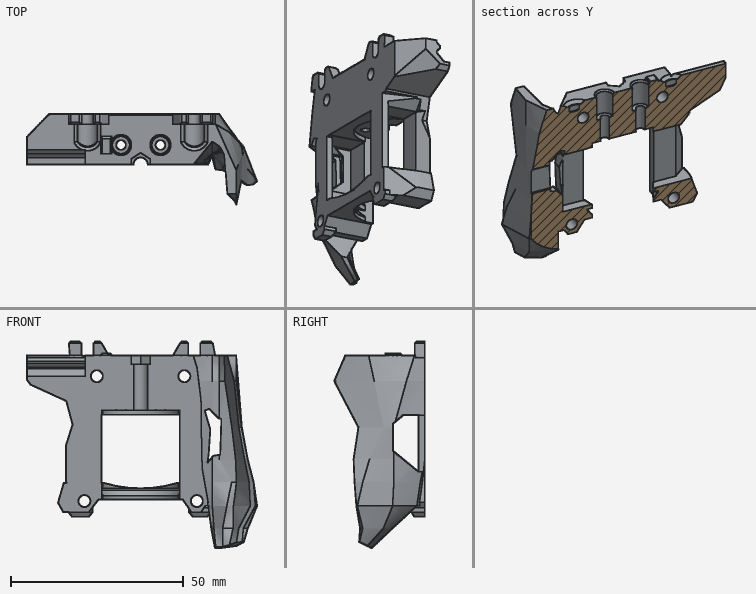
import cadquery as cq

DEPTH = 14.65
BODY_LENGTH = 50.6
PART_LENGTH = 66.6
CLEARANCE = 0.65

OPENING_LEFT, OPENING_RIGHT = 21.65, 44.15
OPENING_CENTRE = (OPENING_LEFT + OPENING_RIGHT) / 2
BORE_RADIUS = (OPENING_RIGHT - OPENING_LEFT) / 2
OPENING_TOP = -15.8
BACK_OPENING_TOP = -17.2
BACK_OPENING_MARGIN = 1.4
BODY_BOTTOM = -45.3
CROSSBAR_BOTTOM = -41.7
CROSSBAR_SIDE_TOP, CROSSBAR_MIDDLE_TOP = -36.6, -38.35
FLARE_BOTTOM, FLARE_TOP, FLARE_RADIUS = -40.5, -38.9, 12.3

TUNNEL_FRONT, TUNNEL_BACK = 2.85, 12.8
TUNNEL_TOP, TUNNEL_BOTTOM = -17.25, -36.8
TUNNEL_MOUTH_TOP = -13.85
MOUTH_END = 14.3
SLOT_LEFT = 51.9
SCOOP_WALL_BACK = 5.45

SCREW_DIAMETER = 3.4
SCREW_HOLES = [(20.25, -6.0), (45.55, -6.0), (16.65, -42.1), (49.15, -42.1)]
DECK_HOLE_DIAMETER = 2.7
DECK_BORE_DIAMETER, DECK_BORE_DEPTH = 5.0, 8.0
DECK_BORE_RIM = 6.0
DECK_HOLES = [(27.2, 5.65), (38.6, 5.65)]

NUT_WIDTH, NUT_SIDE_DEPTH, NUT_TIP_DEPTH, NUT_HEIGHT = 5.45, 1.65, 3.4, 2.45
CHANNEL_DIAMETER = 4.05

HOOKS = [(17.5, 1, -0.25), (48.4, -1, 0.65)]
HOOK_HEIGHT, HOOK_FRONT, HOOK_TOP_CHAMFER = 4.05, 11.65, 0.6
HOOK_GAP = 3.4
HOOK_OUTER_REACH, HOOK_INNER_TOP, HOOK_INNER_FOOT, HOOK_ROOT = 5.4, 4.2, 6.2, 0.65
HOOK_CHANNEL_STRAIGHT_Y = 6.65
HOOK_CHANNEL_DIAMETER = 6.0
HOOK_CHANNEL_RIM, HOOK_CHANNEL_RIM_DEPTH = 7.7, 1.0
HOOK_END_Y, HOOK_END_RADIUS = 9.05, 3.7
HOOK_RIM_END_Y, HOOK_RIM_END_RADIUS = 8.25, 4.25

CLIP_X, CLIP_Y, CLIP_HEIGHT, CLIP_CHAMFER = (21.45, 24.5), (3.1, 8.1), 0.6, 0.4

RAIL_LENGTH = 16.9
FOOT_HEIGHT, FOOT_THICKNESS, FOOT_BEVEL = 1.4, 3.9, 0.85
FOOT_SPANS = [(12.0, 19.05), (46.9, 53.25)]
FOOT_END_SLOPE, FOOT_ROOT = 1.1, 1.3
DECK_BACK_BEVEL, DECK_BEVEL_SPAN = 0.4, (20.0, 51.9)
LEG_SIDE = 11.3
FOOT_OVERHANG = 2.3
LEG_SIDE_BACK = 13.65
LEG_PLATE_BEVEL = 3.3


def box(x0, x1, y0, y1, z0, z1):
    return cq.Workplane("XY").box(x1 - x0, y1 - y0, z1 - z0, centered=False).translate((x0, y0, z0))


def along_y(points, y0, y1):
    """Outline in X and Z, extruded from y0 back to y1."""
    return cq.Workplane("XZ", origin=(0, y0, 0)).polyline(points).close().extrude(y0 - y1)


def along_x(points, x0, x1):
    """Outline in Y and Z, extruded from x0 to x1."""
    return cq.Workplane("YZ", origin=(x0, 0, 0)).polyline(points).close().extrude(x1 - x0)


def upright(x, y, diameter, z_top, z_bottom):
    return cq.Workplane("XY", origin=(x, y, z_bottom)).circle(diameter / 2).extrude(z_top - z_bottom)


def corner_cut(a, b, c, outward, size=39.95):
    """Block lying beyond the plane through three points, on the outward side."""
    a, b, c = cq.Vector(*a), cq.Vector(*b), cq.Vector(*c)
    normal = (b - a).cross(c - a).normalized()
    if normal.dot(cq.Vector(*outward)) < 0:
        normal = normal * -1
    return cq.Workplane(cq.Plane(origin=a, normal=normal)).rect(size, size).extrude(size)


def body():
    """Block with the front outline, chamfered at its left back corner."""
    outline = [
        (0, 0), (0, -7.0), (1.05, -8.45), (11.4, -13.2), (13.2, -20.0), (LEG_SIDE, -25.9),
        (LEG_SIDE, TUNNEL_BOTTOM), (LEG_SIDE - 0.65, TUNNEL_BOTTOM), (LEG_SIDE - FOOT_OVERHANG, -42.55),
        (10.5, BODY_BOTTOM), (17.9, BODY_BOTTOM),
        (20.7, CROSSBAR_BOTTOM), (45.1, CROSSBAR_BOTTOM), (47.55, BODY_BOTTOM), (50.35, BODY_BOTTOM),
        (52.4, -42.4), (BODY_LENGTH, -32.15), (50.35, -12.85), (49.2, -3.6), (48.15, 0),
    ]
    block = along_y(outline, 0, DEPTH)
    out = (-1, 1, -1)
    block = block.cut(corner_cut((0, 8.0, 0), (6.45, DEPTH, 0), (0, 8.0, -6.65), out))
    block = block.cut(corner_cut((0, 8.0, -3.25), (3.6, 11.65, -7.45), (0, 3.4, -6.85), out))
    bevel = along_x([(DEPTH, -DECK_BACK_BEVEL), (DEPTH, 0), (DEPTH - DECK_BACK_BEVEL, 0)], *DECK_BEVEL_SPAN)
    return block.cut(bevel).cut(leg_side_cut())


def leg_side_cut():
    """Material taken off the outer side of the left leg, which narrows towards the back."""
    outside = LEG_SIDE - FOOT_OVERHANG
    plate = [(LEG_SIDE, 0), (LEG_SIDE + LEG_PLATE_BEVEL, TUNNEL_FRONT), (LEG_SIDE, TUNNEL_FRONT)]
    back = [(outside, TUNNEL_FRONT), (LEG_SIDE, TUNNEL_FRONT), (LEG_SIDE_BACK, DEPTH), (outside, DEPTH)]
    cut = cq.Workplane("XY")
    for plan, top in ((plate, TUNNEL_TOP), (back, TUNNEL_MOUTH_TOP)):
        floor = cq.Workplane("XY", origin=(0, 0, TUNNEL_BOTTOM))
        cut = cut.add(floor.polyline(plan).close().extrude(top - TUNNEL_BOTTOM))
    cut = cut.combine()

    knee = (outside, 5.7, -42.9)
    shoulder = (10.3, 1.7, TUNNEL_BOTTOM)
    shoulder_back = (12.3, DEPTH, TUNNEL_BOTTOM)
    foot_zone = box(outside, OPENING_LEFT, 0, DEPTH, BODY_BOTTOM, TUNNEL_BOTTOM)
    upper = corner_cut(shoulder, knee, shoulder_back, (-1, 0, 1))
    lower = corner_cut(knee, (12.65, DEPTH, -39.3), (12.65, DEPTH, BODY_BOTTOM), (-1, 1, 0))
    return cut.union(upper.union(lower).intersect(foot_zone))


def feet():
    """Two thin feet under the back of the legs, with sloped ends and a bevelled front."""
    front, low = DEPTH - FOOT_THICKNESS, BODY_BOTTOM - FOOT_HEIGHT
    profile = [(front, BODY_BOTTOM + FOOT_ROOT), (front, BODY_BOTTOM), (front + FOOT_BEVEL, low),
               (DEPTH, low), (DEPTH, BODY_BOTTOM + FOOT_ROOT)]
    pair = cq.Workplane("XY")
    for x0, x1 in FOOT_SPANS:
        ends = [(x0, BODY_BOTTOM + FOOT_ROOT), (x0, BODY_BOTTOM), (x0 + FOOT_END_SLOPE, low),
                (x1 - FOOT_END_SLOPE, low), (x1, BODY_BOTTOM), (x1, BODY_BOTTOM + FOOT_ROOT)]
        pair = pair.add(along_y(ends, 0, DEPTH).intersect(along_x(profile, x0, x1)))
    return pair.combine()


SCOOP_SECTIONS = [
    (0.0, [(48.15, 0), (53.6, 6.65), (55.6, 5.3), (57.05, 2.65), (57.9, -8.4),
           (60.5, -8.4), (60.5, -1.6), (54.6, 11.65), (52.3, 14.65)]),
    (-7.4, [(49.55, 0), (53.65, 3.3), (55.6, 4.65), (57.25, 4), (59.9, -10.3),
             (60.6, -11.6), (61.1, 0), (58.6, 9.3), (53.9, 14.65)]),
    (-20.8, [(50.4, 0), (53.6, 3.05), (55.6, 4), (59.25, 4), (61.25, -4.3),
             (62.05, -4.6), (62.2, 2.65), (62.05, 5.65), (56.2, 14.65)]),
    (-29.95, [(50.6, 0), (53.6, 3.05), (55.6, 4), (60.3, 4), (62.9, -5.65),
             (63.8, -6), (63.85, -1.3), (61.9, 5.65), (55.9, 14.65)]),
    (-36.6, [(50.95, 0), (53.6, 3.05), (59.2, 3.7), (60.6, 4), (64.25, -5.2),
             (65.5, -5.7), (65.6, -3.3), (62.25, 5.65), (55.25, 13.3)]),
    (-43.5, [(52.4, 0), (53.6, 2.9), (57.8, -0.3), (59.7, 2), (64.6, -4.65),
             (66.05, -5.2), (PART_LENGTH, -4.85), (62.6, 5.3), (54.6, 12.3)]),
]
SPOUT_SECTIONS = [
    (-49.95, [(53.25, 3.3), (54.05, 2), (56.6, -0.65), (59.6, 0), (61.25, -3.7),
             (62.6, -4.1), (63.9, -3.3), (61.25, 2.65), (53.25, 5.3)]),
]
SCOOP_ROOT = [(46.6, DEPTH), (46.6, 0)]
TIP_OUTLINE = [(54.3, -0.85), (54.6, -1.45), (56.6, -1.65), (58.6, -2.65), (60.6, -4.1),
               (62.25, -4.4), (62.7, -4.25), (60.6, -2), (55.9, -0.7)]
TIP_LOWEST, TIP_SLOPE = -56.05, 0.5


def ruled_loft(rings):
    wires = [cq.Wire.makePolygon([cq.Vector(*p) for p in ring], close=True) for ring in rings]
    return cq.Workplane(obj=cq.Solid.makeLoft(wires, True))


def scoop():
    """Faceted air scoop with its forward spout."""
    rooted = [(z, points + SCOOP_ROOT) for z, points in SCOOP_SECTIONS]
    upper = ruled_loft([[(x, y, z) for x, y in points] for z, points in rooted])
    lower = [[(x, y, z) for x, y in points] for z, points in [SCOOP_SECTIONS[-1]] + SPOUT_SECTIONS]
    lower.append([(x, y, TIP_LOWEST - TIP_SLOPE * y) for x, y in TIP_OUTLINE])
    return upper.union(ruled_loft(lower))


def hook(centre, inner_side, flare):
    """Pair of prongs; flare widens the foot of the outer one.

    inner_side is the sign of X towards the middle of the part.
    """
    gap, shoulder = HOOK_GAP / 2, HOOK_HEIGHT - HOOK_TOP_CHAMFER
    outer = [(-HOOK_OUTER_REACH - flare, -HOOK_ROOT), (-HOOK_OUTER_REACH - flare, 0),
             (-HOOK_OUTER_REACH, shoulder), (-HOOK_OUTER_REACH + HOOK_TOP_CHAMFER, HOOK_HEIGHT),
             (-gap - HOOK_TOP_CHAMFER, HOOK_HEIGHT), (-gap, shoulder), (-gap, -HOOK_ROOT)]
    inner = [(gap, -HOOK_ROOT), (gap, shoulder), (gap + HOOK_TOP_CHAMFER, HOOK_HEIGHT),
             (HOOK_INNER_TOP - HOOK_TOP_CHAMFER, HOOK_HEIGHT), (HOOK_INNER_TOP, shoulder),
             (HOOK_INNER_FOOT, 0), (HOOK_INNER_FOOT, -HOOK_ROOT)]
    profile = [(HOOK_FRONT, -HOOK_ROOT), (HOOK_FRONT, shoulder), (HOOK_FRONT + HOOK_TOP_CHAMFER, HOOK_HEIGHT),
               (DEPTH, HOOK_HEIGHT), (DEPTH, -HOOK_ROOT)]
    side_shape = along_x(profile, centre - 2 * HOOK_OUTER_REACH, centre + 2 * HOOK_OUTER_REACH)
    prongs = cq.Workplane("XY")
    for points in (outer, inner):
        placed = [(centre + inner_side * x, z) for x, z in points]
        prongs = prongs.add(along_y(placed, 0, DEPTH).intersect(side_shape))
    return prongs.combine()


def hook_channel(centre):
    """Lying round channel with a rounded front end, a bevelled rim and a narrow gap through the back."""
    radius, rim = HOOK_CHANNEL_DIAMETER / 2, HOOK_CHANNEL_RIM / 2
    floor = rim - HOOK_CHANNEL_RIM_DEPTH
    left, right = centre - rim, centre + rim

    core = cq.Workplane("XZ", origin=(centre, 0, 0)).circle(radius).extrude(-HOOK_FRONT)
    core_end = upright(centre, HOOK_END_Y, 2 * HOOK_END_RADIUS, 0, -radius)
    core_end = core_end.union(box(left, right, HOOK_CHANNEL_STRAIGHT_Y, HOOK_FRONT, -radius, 0))

    bevel = along_y([(left, 0), (right, 0), (centre + floor, -HOOK_CHANNEL_RIM_DEPTH),
                     (centre - floor, -HOOK_CHANNEL_RIM_DEPTH)], 0, HOOK_FRONT)
    bevel_end = (
        cq.Workplane("XY", origin=(centre, HOOK_RIM_END_Y, 0))
        .circle(HOOK_RIM_END_RADIUS)
        .extrude(-HOOK_CHANNEL_RIM_DEPTH, taper=45)
    )
    bevel_end = bevel_end.union(
        box(left, right, HOOK_RIM_END_Y, HOOK_FRONT, -HOOK_CHANNEL_RIM_DEPTH, 0))

    gap = cq.Workplane("XZ", origin=(centre, HOOK_END_Y, 0)).circle(HOOK_GAP / 2).extrude(-DEPTH)
    return core.intersect(core_end).union(bevel.intersect(bevel_end)).union(gap)


def deck_clip():
    """Low bevelled pad beside the left deck hole."""
    front, back = CLIP_Y
    profile = [(front, -CLIP_HEIGHT), (front, CLIP_HEIGHT), (back - CLIP_HEIGHT, CLIP_HEIGHT),
               (back, 0), (back, -CLIP_HEIGHT)]
    return along_x(profile, *CLIP_X).edges("|Y and >Z").chamfer(CLIP_CHAMFER)


def main_opening():
    """Square front window, round bore, flared crossbar top and back window."""
    front = box(OPENING_LEFT, OPENING_RIGHT, -CLEARANCE, TUNNEL_FRONT, BODY_BOTTOM, OPENING_TOP)
    bore = upright(OPENING_CENTRE, 0, 2 * BORE_RADIUS, OPENING_TOP, BODY_BOTTOM)
    flare = (
        cq.Workplane("XZ", origin=(OPENING_CENTRE, 0, 0))
        .polyline([(0, FLARE_BOTTOM), (BORE_RADIUS, FLARE_BOTTOM), (FLARE_RADIUS, FLARE_TOP),
                   (DEPTH, CROSSBAR_MIDDLE_TOP), (0, CROSSBAR_MIDDLE_TOP)])
        .close()
        .revolve(360, (0, 0, 0), (0, 1, 0))
    )
    flare = flare.intersect(box(OPENING_LEFT, OPENING_RIGHT, 0, DEPTH, BODY_BOTTOM, 0))
    back = (
        cq.Workplane("XZ")
        .moveTo(OPENING_LEFT, BACK_OPENING_TOP)
        .lineTo(OPENING_LEFT, CROSSBAR_SIDE_TOP)
        .threePointArc((OPENING_CENTRE, CROSSBAR_MIDDLE_TOP), (OPENING_RIGHT, CROSSBAR_SIDE_TOP))
        .lineTo(OPENING_RIGHT, BACK_OPENING_TOP)
        .close()
        .extrude(-DEPTH - CLEARANCE)
    )
    rear = box(OPENING_LEFT - BACK_OPENING_MARGIN, OPENING_RIGHT + BACK_OPENING_MARGIN,
               TUNNEL_BACK, DEPTH, TUNNEL_BOTTOM, TUNNEL_TOP)
    return front.union(bore).union(flare).union(back).union(rear)


def leg_tunnel():
    """Cross tunnel through both legs, ending in a window behind the scoop wall."""
    left = box(-CLEARANCE, OPENING_CENTRE, TUNNEL_FRONT, TUNNEL_BACK, TUNNEL_BOTTOM, TUNNEL_TOP)
    outside = LEG_SIDE - FOOT_OVERHANG
    slope = [(outside, TUNNEL_MOUTH_TOP), (LEG_SIDE, TUNNEL_MOUTH_TOP),
             (MOUTH_END, TUNNEL_TOP), (outside, TUNNEL_TOP)]
    mouth = along_y(slope, TUNNEL_FRONT, TUNNEL_BACK)
    right = box(OPENING_CENTRE, SLOT_LEFT, TUNNEL_FRONT, TUNNEL_BACK, TUNNEL_BOTTOM, TUNNEL_TOP)
    side_window = along_x(
        [(SCOOP_WALL_BACK, -19.7), (8.45, TUNNEL_TOP), (DEPTH + CLEARANCE, TUNNEL_TOP),
         (DEPTH + CLEARANCE, -33.55), (TUNNEL_BACK, -33.55), (SCOOP_WALL_BACK, -27.55)],
        SLOT_LEFT, PART_LENGTH + CLEARANCE)
    return left.union(mouth).union(right).union(side_window)


def front_slot():
    """Slot through the scoop wall beside the right leg."""
    outline = [(51.45, -16.0), (52.7, -15.45), (55.4, -18.2), (56.2, -18.4), (55.85, -28.6), (53.9, -28.95),
               (52.25, -30.9), (52.6, -28.35), (53.05, -21.4)]
    return along_y(outline, -CLEARANCE, DEPTH + CLEARANCE)


def rail_groove():
    """Stepped groove along the left top front edge."""
    profile = [(-CLEARANCE, CLEARANCE), (4.25, CLEARANCE), (4.25, -0.6), (3.1, -1.65), (3.1, -2.2),
               (4.25, -3.4), (4.25, -3.8), (1.9, -6.05), (-CLEARANCE, -6.05)]
    return along_x(profile, -CLEARANCE, RAIL_LENGTH)


def nut_channel():
    """Pointed nut pocket above a half-round channel."""
    half = NUT_WIDTH / 2
    outline = [(-half, -CLEARANCE), (half, -CLEARANCE), (half, NUT_SIDE_DEPTH),
               (0, NUT_TIP_DEPTH), (-half, NUT_SIDE_DEPTH)]
    pocket = (
        cq.Workplane("XY", origin=(OPENING_CENTRE, 0, -NUT_HEIGHT))
        .polyline(outline)
        .close()
        .extrude(NUT_HEIGHT + CLEARANCE)
    )
    return pocket.union(upright(OPENING_CENTRE, 0, CHANNEL_DIAMETER, 0, OPENING_TOP - CLEARANCE))


def deck_hole(x, y):
    """Counterbored through hole with a bevelled rim."""
    rim_depth = (DECK_BORE_RIM - DECK_BORE_DIAMETER) / 2
    through = upright(x, y, DECK_HOLE_DIAMETER, 0, BACK_OPENING_TOP - CLEARANCE)
    bore = upright(x, y, DECK_BORE_DIAMETER, 0, -DECK_BORE_DEPTH)
    rim = cq.Workplane("XY", origin=(x, y, 0)).circle(DECK_BORE_RIM / 2).extrude(-rim_depth, taper=45)
    return through.union(bore).union(rim)


result = body().union(scoop()).union(feet())
for hook_centre, inner_side, hook_flare in HOOKS:
    result = result.union(hook(hook_centre, inner_side, hook_flare)).cut(hook_channel(hook_centre))
result = result.union(deck_clip())
for cutter in (main_opening(), leg_tunnel(), front_slot(), rail_groove(), nut_channel()):
    result = result.cut(cutter)
for hole_x, hole_z in SCREW_HOLES:
    result = result.cut(
        cq.Workplane("XZ", origin=(hole_x, 0, hole_z)).circle(SCREW_DIAMETER / 2).extrude(-DEPTH))
for hole_x, hole_y in DECK_HOLES:
    result = result.cut(deck_hole(hole_x, hole_y))